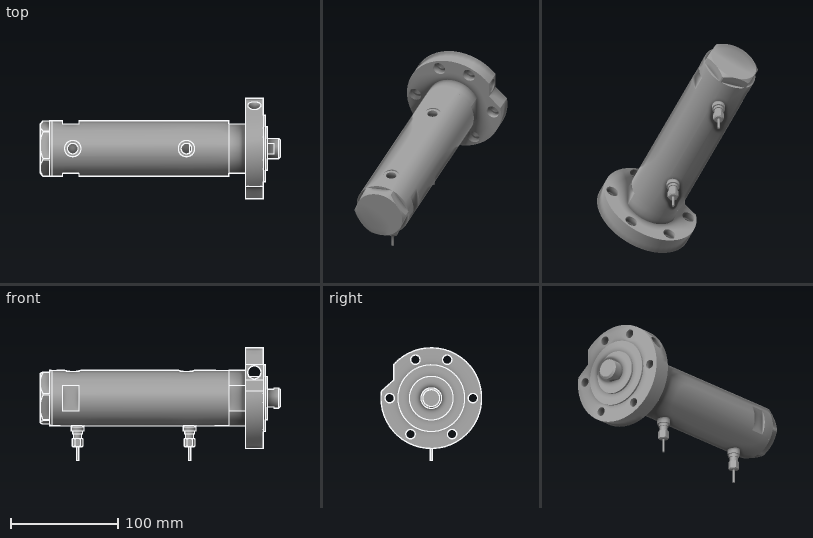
import cadquery as cq
import math

CAP_HEX_LENGTH = 9.0
TUBE_START = 11.0
HEAD_START = 175.9
FLANGE_START = 191.3
FLANGE_END = 208.1
PILOT_END = 210.0
BUSH_END = 212.0
ROD_FLATS_END = 218.0
ROD_END = 224.0

BARREL_RADIUS = 26.0
BORE_RADIUS = 15.7
SEAT_RADIUS = 20.4
FLAT_OFFSET = 23.0
TUBE_FLAT_START = 21.0
TUBE_FLAT_END = 36.0

PORT_STATIONS = (30.5, 136.5)
PORT_RADIUS = 5.0
SPOTFACE_RADIUS = 7.6
SPOTFACE_FLOOR = 24.6

CAP_TURN = -7.8
CAP_HEX_APOTHEM = 22.9
CAP_FACE_RADIUS = 22.9
CAP_CHAMFER_LENGTH = 2.7
PLUG_END = 40.3

FLANGE_RADIUS = 47.0
PILOT_RADIUS = 31.1
BOLT_CIRCLE_RADIUS = 38.8
BOLT_ANGLES = (0, 67.5, 112.5, 180, 240, 300)
BOLT_RADIUS = 4.3
COUNTERBORE_RADIUS = 6.0
COUNTERBORE_DEPTH = 6.7
NOTCH_Y = -35.2
NOTCH_CORNER_Z = 16.8
NOTCH_SLOPE = 42.0
CROSS_HOLE_RADIUS = 6.0
CROSS_HOLE_Z = 24.0

BUSH_START = 139.1
BUSH_SHOULDER = 143.4
ROD_RADIUS = 9.6
ROD_FLAT_OFFSET = 8.3
ROD_CHAMFER = 1.8

SENSOR_STATIONS = (35.0, 139.3)
SENSOR_TIP = 21.5
SPIGOT_RADIUS = 5.8
COLLAR_TOP = 26.9
COLLAR_RADIUS = 6.0
COLLAR_BOTTOM = 30.7
STEP_RADIUS = 4.7
STEP_BOTTOM = 33.4
NECK_RADIUS = 3.8
NUT_TOP = 37.5
NUT_BOTTOM = 45.7
NUT_CORNER_RADIUS = 5.2
NUT_TOP_CHAMFER = 1.0
NUT_FACE_RADIUS = 3.5
NUT_TAPER_LENGTH = 1.1
CABLE_RADIUS = 1.1
CABLE_END = 58.2


def disc(radius, start, end):
    """Cylinder on the X axis from one station to another."""
    return cq.Workplane("YZ").workplane(offset=start).circle(radius).extrude(end - start)


def post(radius, station, low, high):
    """Upright cylinder at a station on the X axis between two heights."""
    return cq.Workplane("XY", origin=(station, 0, low)).circle(radius).extrude(high - low)


def hexagon(workplane, apothem, length):
    """Hexagonal prism with its corners on the local x axis."""
    return workplane.polygon(6, 2 * apothem / math.cos(math.radians(30))).extrude(length)


def side_flats(start, end):
    """Material outside the two wrench flats of the barrel, one at each side in Y."""
    depth = BARREL_RADIUS - FLAT_OFFSET
    return (
        cq.Workplane("XY", origin=((start + end) / 2, 0, 0))
        .pushPoints([(0, side * (FLAT_OFFSET + depth / 2)) for side in (-1, 1)])
        .box(end - start, depth, 2 * BARREL_RADIUS)
    )


def make_tube():
    tube = disc(BARREL_RADIUS, TUBE_START, HEAD_START)
    tube = tube.cut(disc(BORE_RADIUS, TUBE_START, HEAD_START))
    tube = tube.cut(disc(SEAT_RADIUS, BUSH_START, HEAD_START))
    tube = tube.cut(side_flats(TUBE_FLAT_START, TUBE_FLAT_END))
    for station in PORT_STATIONS:
        tube = tube.cut(post(PORT_RADIUS, station, 0, BARREL_RADIUS))
        tube = tube.cut(post(SPOTFACE_RADIUS, station, SPOTFACE_FLOOR, BARREL_RADIUS))
    for station in SENSOR_STATIONS:
        tube = tube.cut(post(SPIGOT_RADIUS, station, -BARREL_RADIUS, -SENSOR_TIP))
    return tube


def make_cap():
    hex_head = hexagon(cq.Workplane("YZ"), CAP_HEX_APOTHEM, CAP_HEX_LENGTH)
    hex_head = hex_head.rotate((0, 0, 0), (1, 0, 0), CAP_TURN)
    turned_blank = (
        cq.Workplane("XY")
        .moveTo(0, 0)
        .lineTo(0, CAP_FACE_RADIUS)
        .lineTo(CAP_CHAMFER_LENGTH, BARREL_RADIUS)
        .lineTo(CAP_HEX_LENGTH, BARREL_RADIUS)
        .lineTo(CAP_HEX_LENGTH, 0)
        .close()
        .revolve(360, (0, 0, 0), (1, 0, 0))
    )
    cap = hex_head.intersect(turned_blank)
    cap = cap.union(disc(BARREL_RADIUS, CAP_HEX_LENGTH, TUBE_START))
    return cap.union(disc(BORE_RADIUS, TUBE_START, PLUG_END))


def notch_cutter():
    """Corner cut out of the flange rim: an upright wall and a sloping floor."""
    reach = FLANGE_RADIUS + NOTCH_Y
    floor_drop = reach * math.tan(math.radians(NOTCH_SLOPE))
    return (
        cq.Workplane("YZ")
        .workplane(offset=FLANGE_START)
        .moveTo(NOTCH_Y, NOTCH_CORNER_Z)
        .lineTo(-FLANGE_RADIUS, NOTCH_CORNER_Z - floor_drop)
        .lineTo(-FLANGE_RADIUS, FLANGE_RADIUS)
        .lineTo(NOTCH_Y, FLANGE_RADIUS)
        .close()
        .extrude(FLANGE_END - FLANGE_START)
    )


def make_head():
    neck = disc(BARREL_RADIUS, HEAD_START, FLANGE_START).cut(side_flats(HEAD_START, FLANGE_START))
    flange = disc(FLANGE_RADIUS, FLANGE_START, FLANGE_END).cut(notch_cutter())
    head = neck.union(flange).union(disc(PILOT_RADIUS, FLANGE_END, PILOT_END))

    for angle in BOLT_ANGLES:
        place = (
            0,
            BOLT_CIRCLE_RADIUS * math.cos(math.radians(angle)),
            BOLT_CIRCLE_RADIUS * math.sin(math.radians(angle)),
        )
        head = head.cut(disc(BOLT_RADIUS, FLANGE_START, FLANGE_END).translate(place))
        counterbore = disc(COUNTERBORE_RADIUS, FLANGE_START, FLANGE_START + COUNTERBORE_DEPTH)
        head = head.cut(counterbore.translate(place))

    cross_hole = (
        cq.Workplane("XZ", origin=((FLANGE_START + FLANGE_END) / 2, 0, CROSS_HOLE_Z))
        .circle(CROSS_HOLE_RADIUS)
        .extrude(FLANGE_RADIUS, both=True)
    )
    return head.cut(cross_hole).cut(disc(SEAT_RADIUS, HEAD_START, PILOT_END))


def make_bush():
    bush = disc(BORE_RADIUS, BUSH_START, BUSH_SHOULDER)
    bush = bush.union(disc(SEAT_RADIUS, BUSH_SHOULDER, BUSH_END))
    return bush.cut(disc(ROD_RADIUS, BUSH_START, BUSH_END))


def make_rod():
    rod = disc(ROD_RADIUS, PLUG_END, ROD_END).faces(">X").chamfer(ROD_CHAMFER)
    depth = ROD_RADIUS - ROD_FLAT_OFFSET
    flats = (
        cq.Workplane("XZ", origin=((BUSH_END + ROD_FLATS_END) / 2, 0, 0))
        .pushPoints([(0, side * (ROD_FLAT_OFFSET + depth / 2)) for side in (-1, 1)])
        .box(ROD_FLATS_END - BUSH_END, depth, 2 * ROD_RADIUS)
    )
    return rod.cut(flats)


def make_sensor(station):
    nut_plane = cq.Workplane("XY", origin=(station, 0, -NUT_BOTTOM))
    nut_apothem = NUT_CORNER_RADIUS * math.cos(math.radians(30))
    nut = hexagon(nut_plane, nut_apothem, NUT_BOTTOM - NUT_TOP)
    nut_blank = (
        post(NUT_CORNER_RADIUS, station, -NUT_BOTTOM, -NUT_TOP)
        .faces(">Z")
        .chamfer(NUT_TOP_CHAMFER)
        .faces("<Z")
        .chamfer(NUT_TAPER_LENGTH, NUT_CORNER_RADIUS - NUT_FACE_RADIUS)
    )
    return (
        nut.intersect(nut_blank)
        .union(post(SPIGOT_RADIUS, station, -COLLAR_TOP, -SENSOR_TIP))
        .union(post(COLLAR_RADIUS, station, -COLLAR_BOTTOM, -COLLAR_TOP))
        .union(post(STEP_RADIUS, station, -STEP_BOTTOM, -COLLAR_BOTTOM))
        .union(post(NECK_RADIUS, station, -NUT_TOP, -STEP_BOTTOM))
        .union(post(CABLE_RADIUS, station, -CABLE_END, -NUT_BOTTOM))
    )


tube = make_tube()
cap = make_cap()
head = make_head()
bush = make_bush()
rod = make_rod()
sensors = [make_sensor(station) for station in SENSOR_STATIONS]

result = cq.Compound.makeCompound(
    [
        tube.val(),
        cap.val(),
        head.val(),
        bush.val(),
        rod.val(),
        *[sensor.val() for sensor in sensors],
    ]
)